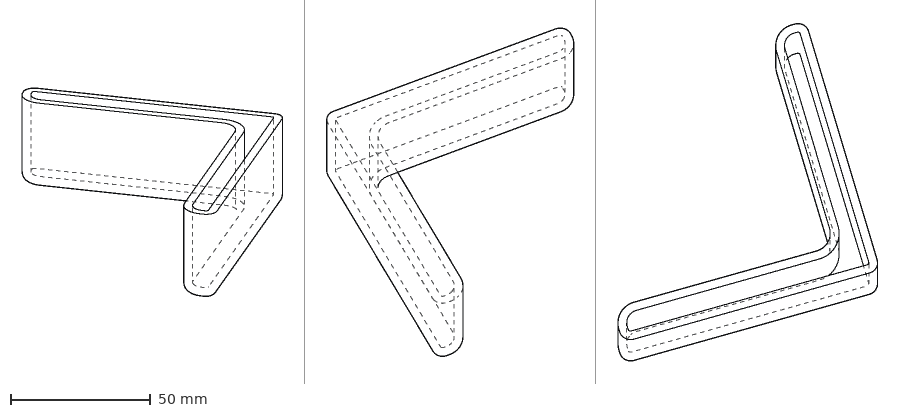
import cadquery as cq

leg_length = 96.0
height = 33.0
arm_width = 13.2

wall = 3.2
floor_thickness = wall
bottom_radius = wall

back_radius = 4.0
end_radius = 8.0
elbow_radius = 6.8

half = leg_length / 2


def l_prism(inset, bottom, top):
    """L-shaped prism whose outline lies a given distance inside the outer walls."""
    outer = half - inset
    inner = half - arm_width + inset
    outline = [
        (-outer, outer),
        (outer, outer),
        (outer, -outer),
        (inner, -outer),
        (inner, inner),
        (-outer, inner),
    ]
    prism = cq.Workplane("XY").workplane(offset=bottom).polyline(outline).close().extrude(top - bottom)

    corner_radii = [
        ((-outer, outer), back_radius - inset),
        ((outer, outer), back_radius - inset),
        ((outer, -outer), back_radius - inset),
        ((inner, -outer), end_radius - inset),
        ((-outer, inner), end_radius - inset),
        ((inner, inner), elbow_radius + inset),
    ]
    middle = (bottom + top) / 2
    for (x, y), radius in corner_radii:
        edge = cq.selectors.NearestToPointSelector((x, y, middle))
        prism = prism.edges("|Z").edges(edge).fillet(radius)
    return prism


body = l_prism(0, 0, height).faces("<Z").edges().fillet(bottom_radius)

cavity = l_prism(wall, floor_thickness, height)

result = body.cut(cavity)